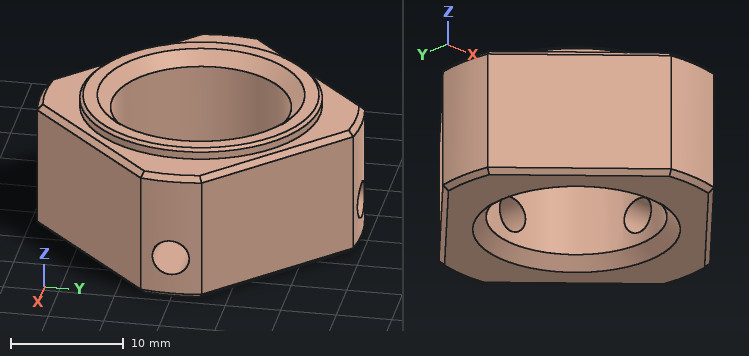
import cadquery as cq

corner_diameter = 29.0
across_flats = 24.0
body_height = 12.0
body_chamfer = 0.5

collar_diameter = 21.5
collar_height = 1.0
collar_chamfer = 0.3

bore_diameter = 16.0
countersink_depth = 1.2

radial_hole_diameter = 3.3
radial_hole_height = 4.0

total_height = body_height + collar_height


def make_body():
    """Square turned onto its corners, which are rounded by a common cylinder."""
    square = (
        cq.Workplane("XY")
        .rect(across_flats, across_flats)
        .extrude(body_height)
        .rotate((0, 0, 0), (0, 0, 1), 45)
    )
    cylinder = cq.Workplane("XY").circle(corner_diameter / 2).extrude(body_height)
    return square.intersect(cylinder).faces("<Z or >Z").chamfer(body_chamfer)


def make_collar():
    return (
        cq.Workplane("XY", origin=(0, 0, body_height))
        .circle(collar_diameter / 2)
        .extrude(collar_height)
        .faces(">Z")
        .chamfer(collar_chamfer)
    )


def make_bore():
    """Solid of revolution removed by the bore and its two countersinks."""
    bore_radius = bore_diameter / 2
    mouth_radius = bore_radius + countersink_depth
    return (
        cq.Workplane("XZ")
        .polyline([
            (0, 0),
            (mouth_radius, 0),
            (bore_radius, countersink_depth),
            (bore_radius, total_height - countersink_depth),
            (mouth_radius, total_height),
            (0, total_height),
        ])
        .close()
        .revolve(360, (0, 0), (0, 1))
    )


def make_radial_hole(direction):
    """Cylinder from the bore axis outwards past the corner."""
    start = cq.Vector(0, 0, radial_hole_height)
    return cq.Workplane(
        cq.Solid.makeCylinder(radial_hole_diameter / 2, corner_diameter, start, direction)
    )


result = make_body().union(make_collar()).cut(make_bore())
for direction in (cq.Vector(1, 0, 0), cq.Vector(0, 1, 0)):
    result = result.cut(make_radial_hole(direction))